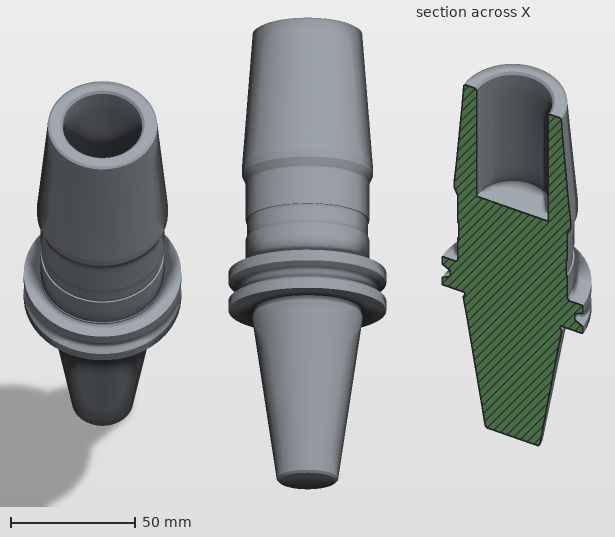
import cadquery as cq
import math

TOTAL_HEIGHT = 188.4
GAUGE_HEIGHT = 68.4
FLANGE_BOTTOM = 71.5
FLANGE_TOP = 87.6
WAIST_BOTTOM = 101.4
WAIST_TOP = 109.3
BODY_TOP = 125.1
NOSE_BAND_BOTTOM = 128.5
NOSE_BAND_TOP = 131.5

GAUGE_RADIUS = 22.2
RELIEF_RADIUS = 21.7
FLANGE_DIAMETER = 63.5
FLANGE_RADIUS = FLANGE_DIAMETER / 2
BODY_RADIUS = 24.9
WAIST_RADIUS = 24.3
NOSE_RADIUS = 26.4
NOSE_TIP_RADIUS = 22.0
BORE_RADIUS = 16.0

TAPER_SLOPE = 7 / 48
TAPER_END_RADIUS = GAUGE_RADIUS - GAUGE_HEIGHT * TAPER_SLOPE
TAPER_END_CHAMFER = 1.0
GAUGE_LAND = 0.5
RELIEF_BOTTOM = GAUGE_HEIGHT + GAUGE_LAND
RELIEF_TOP = 70.3

GROOVE_CENTRE = 79.5
GROOVE_WIDTH = 7.3
GROOVE_RADIUS = 28.0
GROOVE_FILLET = 1.0
GROOVE_WALL_RISE = (FLANGE_RADIUS - GROOVE_RADIUS) * math.tan(math.radians(30))

COLLAR_RADIUS = 25.5
COLLAR_HEIGHT = 0.5
TIP_CHAMFER_WIDTH = 1.0
TIP_CHAMFER_HEIGHT = 0.5
BORE_DEPTH = 60.3
BORE_CHAMFER = 1.0


def revolve_profile(points):
    """Revolve a closed (radius, height) outline about Z."""
    return cq.Workplane("XZ").polyline(points).close().revolve(360, (0, 0), (0, 1))


def make_holder():
    chamfer_top_radius = TAPER_END_RADIUS + TAPER_END_CHAMFER * TAPER_SLOPE
    return revolve_profile([
        (0, 0),
        (chamfer_top_radius - TAPER_END_CHAMFER, 0),
        (chamfer_top_radius, TAPER_END_CHAMFER),
        (GAUGE_RADIUS, GAUGE_HEIGHT),
        (GAUGE_RADIUS, RELIEF_BOTTOM),
        (RELIEF_RADIUS, RELIEF_TOP),
        (RELIEF_RADIUS, FLANGE_BOTTOM),
        (FLANGE_RADIUS, FLANGE_BOTTOM),
        (FLANGE_RADIUS, FLANGE_TOP),
        (COLLAR_RADIUS, FLANGE_TOP),
        (COLLAR_RADIUS, FLANGE_TOP + COLLAR_HEIGHT),
        (BODY_RADIUS, FLANGE_TOP + COLLAR_HEIGHT),
        (BODY_RADIUS, WAIST_BOTTOM),
        (WAIST_RADIUS, WAIST_BOTTOM),
        (WAIST_RADIUS, WAIST_TOP),
        (BODY_RADIUS, WAIST_TOP),
        (BODY_RADIUS, BODY_TOP),
        (NOSE_RADIUS, NOSE_BAND_BOTTOM),
        (NOSE_RADIUS, NOSE_BAND_TOP),
        (NOSE_TIP_RADIUS, TOTAL_HEIGHT - TIP_CHAMFER_HEIGHT),
        (NOSE_TIP_RADIUS - TIP_CHAMFER_WIDTH, TOTAL_HEIGHT),
        (0, TOTAL_HEIGHT),
    ])


def make_groove():
    """Ring removed from the flange, rounded where the walls meet the floor."""
    bottom = GROOVE_CENTRE - GROOVE_WIDTH / 2
    top = GROOVE_CENTRE + GROOVE_WIDTH / 2
    ring = revolve_profile([
        (FLANGE_RADIUS, bottom),
        (GROOVE_RADIUS, bottom + GROOVE_WALL_RISE),
        (GROOVE_RADIUS, top - GROOVE_WALL_RISE),
        (FLANGE_RADIUS, top),
    ])
    floor_edges = cq.selectors.RadiusNthSelector(0)
    return ring.edges("%CIRCLE").edges(floor_edges).fillet(GROOVE_FILLET)


def make_bore():
    floor = TOTAL_HEIGHT - BORE_DEPTH
    return revolve_profile([
        (0, floor),
        (BORE_RADIUS, floor),
        (BORE_RADIUS, TOTAL_HEIGHT - BORE_CHAMFER),
        (BORE_RADIUS + BORE_CHAMFER, TOTAL_HEIGHT),
        (0, TOTAL_HEIGHT),
    ])


result = make_holder().cut(make_groove()).cut(make_bore())